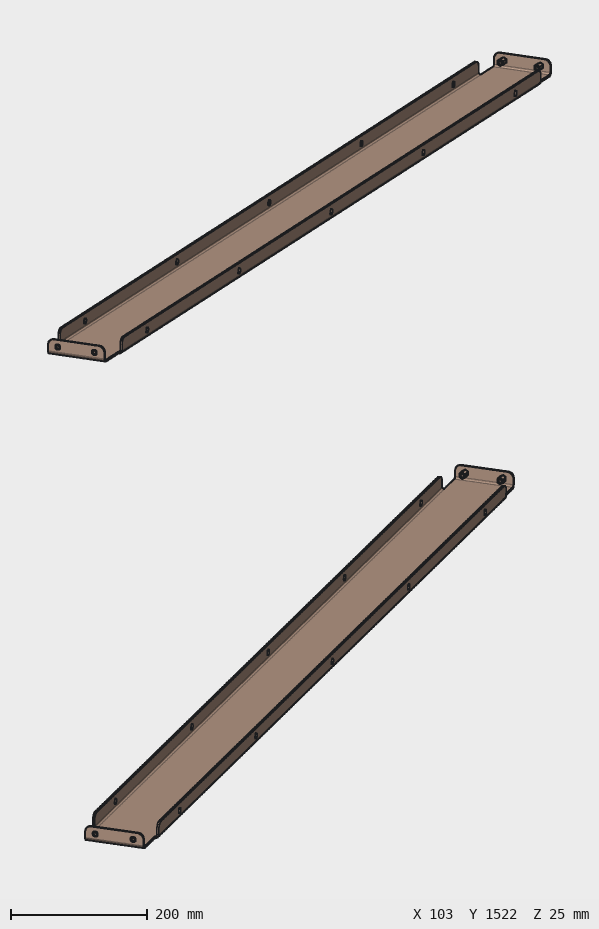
import cadquery as cq

TRAY_LENGTH = 1522.0
TRAY_WIDTH = 103.0
TRAY_HEIGHT = 25.0
SHEET = 3.0
BEND_RADIUS = 6.0
CORNER_RADIUS = 9.0
WALL_LENGTH = 1426.0
FLANGE_WIDTH = TRAY_WIDTH - 2 * BEND_RADIUS

WALL_HOLE_DIAMETER = 8.5
WALL_HOLE_PITCH = 314.0
WALL_HOLE_COUNT = 5
WALL_HOLE_HEIGHT = TRAY_HEIGHT / 2

STANDOFF_LENGTH = 15.0
STANDOFF_ACROSS_FLATS = 9.0
SHANK_DIAMETER = 8.5
BORE_DIAMETER = 4.9
STANDOFF_SPACING = 60.0
STANDOFF_HEIGHT = 14.0

STANDOFF_PLACES = [
    (side * STANDOFF_SPACING / 2, end) for side in (-1, 1) for end in (-1, 1)
]


def u_solid(width, bottom, radius, depth):
    """Block along Y with rounded lower edges, from the bottom up to the tray height."""
    height = TRAY_HEIGHT - bottom
    block = cq.Workplane("XY", origin=(0, 0, bottom)).box(width, depth, height, centered=(True, True, False))
    return block.edges("|Y and <Z").fillet(radius)


def bent_channel(width, depth):
    """U-shaped sheet along Y, open at the top, with the upper corners of its two legs rounded."""
    outside = u_solid(width, 0, BEND_RADIUS, depth)
    inside = u_solid(width - 2 * SHEET, SHEET, BEND_RADIUS - SHEET, depth)
    channel = outside.cut(inside)
    return channel.edges("|X and >Z").fillet(CORNER_RADIUS)


def wall_holes():
    """Rods across the tray, one for each pair of facing wall holes."""
    first_y = -(WALL_HOLE_COUNT - 1) / 2 * WALL_HOLE_PITCH
    return (
        cq.Workplane("YZ")
        .pushPoints([(first_y + i * WALL_HOLE_PITCH, WALL_HOLE_HEIGHT) for i in range(WALL_HOLE_COUNT)])
        .circle(WALL_HOLE_DIAMETER / 2)
        .extrude(TRAY_WIDTH, both=True)
    )


def standoff_plane(x, end, inset):
    """XZ workplane on a standoff axis, inset from the outer face of the flange at that end."""
    y = end * (TRAY_LENGTH / 2 - inset)
    return cq.Workplane("XZ", origin=(x, y, STANDOFF_HEIGHT))


def make_shank(x, end):
    return standoff_plane(x, end, 0).circle(SHANK_DIAMETER / 2).extrude(end * SHEET)


def make_tray():
    walls = bent_channel(TRAY_WIDTH, WALL_LENGTH)
    flanges = bent_channel(TRAY_LENGTH, FLANGE_WIDTH).rotate((0, 0, 0), (0, 0, 1), 90)
    tray = walls.union(flanges).cut(wall_holes())
    for x, end in STANDOFF_PLACES:
        tray = tray.cut(make_shank(x, end))
    return tray.solids()


def make_standoff(x, end):
    """Hexagonal body against the inner face of the flange, shank in the flange, bored through."""
    body = (
        standoff_plane(x, end, SHEET)
        .polygon(6, STANDOFF_ACROSS_FLATS, circumscribed=True)
        .extrude(end * (STANDOFF_LENGTH - SHEET))
    )
    bore = standoff_plane(x, end, 0).circle(BORE_DIAMETER / 2).extrude(end * STANDOFF_LENGTH)
    return body.union(make_shank(x, end)).cut(bore).solids()


tray = make_tray()
standoffs = [make_standoff(x, end) for x, end in STANDOFF_PLACES]

result = cq.Compound.makeCompound([tray.val(), *[standoff.val() for standoff in standoffs]])